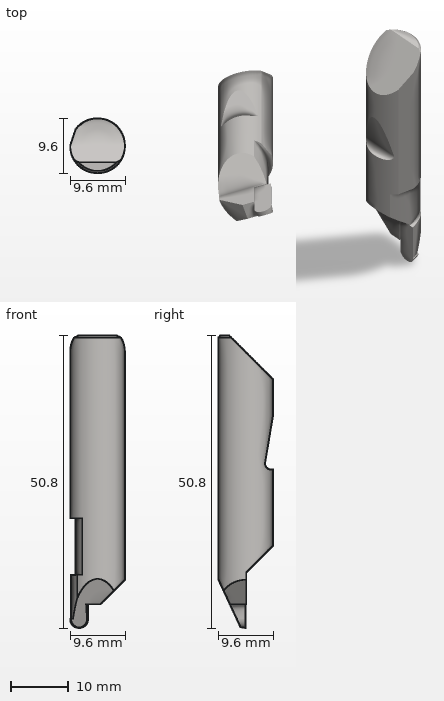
import cadquery as cq
import math

length = 50.8
radius = 4.8
top_chamfer = 0.4
margin = 2.55
reach = radius + margin

top_slant_back_z = 43.2
flat_end_y = 2.85

notch_bottom_z = 27.55
notch_top_z = 36.85
notch_root_radius = 1.0
notch_depth = 1.35

relief_bottom_z = 9.25
relief_top_z = 19.05
relief_x = -3.85
relief_front_y = -3.95
relief_back_y = 3.85
relief_arc_radius = 9.15

back_slant_z = 14.3
core_y = 0.15
front_slant_z = 8.55
nose_front_y = -0.8
right_slant_z = 8.4
step_z = 4.1

nose_radius = 1.6
nose_taper = 8.0
flank_x = -4.6
flank_mid = (-4.25, -1.5)
flank_front_x = -3.55


def rim(across):
    """Distance to the shank surface along the other horizontal axis."""
    return math.sqrt(radius**2 - across**2)


def side_prism(points):
    """Polygon in (Y, Z) swept across the whole width in X."""
    return cq.Workplane("YZ").polyline(points).close().extrude(reach, both=True)


def slant_top_and_flat(body):
    slant_rise = radius + reach
    slant = side_prism([
        (reach, top_slant_back_z - margin),
        (-reach, top_slant_back_z + slant_rise),
        (reach, top_slant_back_z + slant_rise),
    ])
    flat = (
        cq.Workplane("XY")
        .polyline([(-radius, 0), (-rim(flat_end_y), flat_end_y), (-reach, flat_end_y), (-reach, 0)])
        .close()
        .extrude(length)
    )
    return body.cut(slant).cut(flat)


def cut_notch(body):
    arc_y = radius - notch_depth + notch_root_radius
    arc_z = notch_bottom_z + notch_root_radius
    dy = radius - arc_y
    dz = notch_top_z - arc_z
    tangent_angle = math.atan2(dz, dy) + math.acos(notch_root_radius / math.hypot(dy, dz))
    mid_angle = (tangent_angle + 1.5 * math.pi) / 2

    def arc_point(angle):
        return (arc_y + notch_root_radius * math.cos(angle), arc_z + notch_root_radius * math.sin(angle))

    ramp_y, ramp_z = arc_point(tangent_angle)
    ramp_slope = (notch_top_z - ramp_z) / (radius - ramp_y)
    ramp_end_z = notch_top_z + ramp_slope * margin

    notch = (
        cq.Workplane("YZ")
        .moveTo(reach, notch_bottom_z)
        .lineTo(arc_y, notch_bottom_z)
        .threePointArc(arc_point(mid_angle), arc_point(tangent_angle))
        .lineTo(reach, ramp_end_z)
        .close()
        .extrude(reach, both=True)
    )
    return body.cut(notch)


def cut_relief(body):
    front = (-rim(relief_front_y), relief_front_y)
    back = (-rim(relief_back_y), relief_back_y)
    relief = (
        cq.Workplane("XY", origin=(0, 0, relief_bottom_z))
        .moveTo(-reach, front[1])
        .lineTo(*front)
        .radiusArc((relief_x, 0), relief_arc_radius)
        .radiusArc(back, relief_arc_radius)
        .lineTo(-reach, back[1])
        .close()
        .extrude(relief_top_z - relief_bottom_z)
    )
    return body.cut(relief)


def shape_lower_end(body):
    back = side_prism([
        (reach, back_slant_z + margin),
        (core_y, back_slant_z - radius + core_y),
        (core_y, -margin),
        (reach, -margin),
    ])
    slant_start_x = radius - (right_slant_z - step_z)
    underside = (
        cq.Workplane("XZ")
        .polyline([
            (-reach, -margin),
            (-reach, step_z),
            (slant_start_x, step_z),
            (reach, right_slant_z + margin),
            (reach, -margin),
        ])
        .close()
        .extrude(reach, both=True)
    )
    flank = (
        cq.Workplane("XY")
        .moveTo(-reach, reach)
        .lineTo(flank_x, reach)
        .lineTo(flank_x, 0)
        .threePointArc(flank_mid, (flank_front_x, -rim(flank_front_x)))
        .lineTo(-reach, -reach)
        .close()
        .extrude(relief_bottom_z)
    )
    blade_back = (
        cq.Workplane("XY")
        .rect(reach, core_y, centered=False)
        .extrude(relief_bottom_z)
        .translate((2 * nose_radius - radius - reach, 0, 0))
    )
    return body.cut(back).cut(underside).cut(flank).cut(blade_back)


def make_blade():
    left = -radius
    right = left + 2 * nose_radius
    blade = (
        cq.Workplane("XZ")
        .moveTo(left, relief_bottom_z)
        .lineTo(left, nose_radius)
        .threePointArc((left + nose_radius, 0), (right, nose_radius))
        .lineTo(right, relief_bottom_z)
        .close()
        .extrude(radius, taper=nose_taper)
    )
    flank = (
        cq.Workplane("XY", origin=(0, 0, nose_radius))
        .moveTo(-reach, 0)
        .lineTo(flank_x, 0)
        .threePointArc(flank_mid, (flank_front_x, -rim(flank_front_x)))
        .lineTo(-reach, -reach)
        .close()
        .extrude(relief_bottom_z)
    )
    envelope = cq.Workplane("XY").circle(radius).extrude(length)
    return blade.cut(flank).intersect(envelope)


def cut_front_bevel(body):
    slope = front_slant_z / (radius + nose_front_y)
    bevel = side_prism([
        (nose_front_y + margin / slope, -margin),
        (-reach, front_slant_z + margin * slope),
        (-reach, -margin),
    ])
    return body.cut(bevel)


shank = cq.Workplane("XY").circle(radius).extrude(length).faces(">Z").chamfer(top_chamfer)
shank = slant_top_and_flat(shank)
shank = cut_relief(shank)
shank = shape_lower_end(shank)
tool = cut_front_bevel(shank.union(make_blade()))
result = cut_notch(tool)